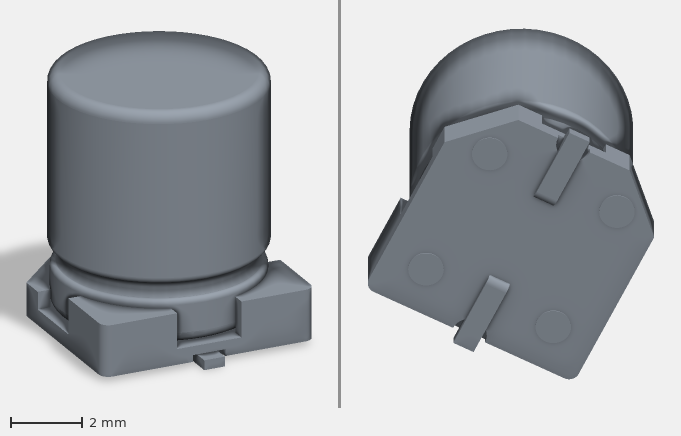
import cadquery as cq
import math

base_side = 6.6
base_bottom = 0.155
floor_top = 0.63
low_corner_top = 1.17
high_corner_top = 1.725
corner_chamfer = 1.55
corner_round = 0.3
notch_width = 2.0

total_height = 7.7
can_radius = 6.3 / 2
flange_radius = 6.15 / 2
neck_radius = 5.605 / 2
top_round = 0.32
bottom_round = 0.33
neck_bottom = 2.16
neck_top = 2.29
groove_round = 0.2
rim_round = 0.16

terminal_span = 7.3
terminal_width = 0.64
terminal_thickness = 0.3
terminal_inner_end = 1.34
terminal_round = 0.26
recess_width = 1.0
recess_top = 0.36

pad_diameter = 1.0
pad_offset = 2.0
pad_height = 0.03


def block(x_min, x_max, y_min, y_max, z_min, z_max):
    size = (x_max - x_min, y_max - y_min, z_max - z_min)
    return cq.Workplane("XY").box(*size, centered=False).translate((x_min, y_min, z_min))


def make_base():
    half = base_side / 2
    half_notch = notch_width / 2

    base = block(-half, half, -half, half, base_bottom, high_corner_top)
    base = base.edges("|Z and <X").chamfer(corner_chamfer)
    base = base.edges("|Z and >X").fillet(corner_round)

    base = base.cut(block(-half, -half_notch, -half, half, low_corner_top, high_corner_top))

    base = base.cut(block(-half_notch, half_notch, -half, half, floor_top, high_corner_top))
    base = base.cut(block(-half, half, -half_notch, half_notch, floor_top, high_corner_top))

    seat_depth = high_corner_top - floor_top
    seat = cq.Workplane("XY").workplane(offset=floor_top).circle(flange_radius).extrude(seat_depth)
    base = base.cut(seat)

    for side in (-1, 1):
        recess = (
            cq.Workplane("XY", origin=(side * half, 0, base_bottom))
            .circle(recess_width / 2)
            .extrude(recess_top - base_bottom)
        )
        base = base.cut(recess)
    return base


def make_can():
    from_corner = 1 - math.sqrt(0.5)

    groove_depth = can_radius - neck_radius
    lip_angle = math.acos(1 - groove_depth / (2 * groove_round))
    lip_rise = groove_round * math.sin(lip_angle)
    lip_mid_in = groove_round * (1 - math.cos(lip_angle / 2))
    lip_mid_up = groove_round * math.sin(lip_angle / 2)
    lip_top = neck_top + 2 * lip_rise

    rim_radius = flange_radius - rim_round
    groove_centre_radius = neck_radius + groove_round
    rim_drop = math.sqrt(groove_round**2 - (groove_centre_radius - rim_radius) ** 2)
    rim_top = neck_bottom - rim_drop
    half_angle = math.asin(rim_drop / groove_round) / 2

    profile = (
        cq.Workplane("XZ")
        .moveTo(0, floor_top)
        .lineTo(flange_radius - bottom_round, floor_top)
        .threePointArc(
            (flange_radius - bottom_round * from_corner, floor_top + bottom_round * from_corner),
            (flange_radius, floor_top + bottom_round),
        )
        .lineTo(flange_radius, rim_top - rim_round)
        .threePointArc(
            (flange_radius - rim_round * from_corner, rim_top - rim_round * from_corner),
            (rim_radius, rim_top),
        )
        .threePointArc(
            (
                groove_centre_radius - groove_round * math.cos(half_angle),
                neck_bottom - groove_round * math.sin(half_angle),
            ),
            (neck_radius, neck_bottom),
        )
        .lineTo(neck_radius, neck_top)
        .threePointArc(
            (neck_radius + lip_mid_in, neck_top + lip_mid_up),
            (neck_radius + groove_depth / 2, neck_top + lip_rise),
        )
        .threePointArc(
            (can_radius - lip_mid_in, lip_top - lip_mid_up),
            (can_radius, lip_top),
        )
        .lineTo(can_radius, total_height - top_round)
        .threePointArc(
            (can_radius - top_round * from_corner, total_height - top_round * from_corner),
            (can_radius - top_round, total_height),
        )
        .lineTo(0, total_height)
        .close()
    )
    return profile.revolve(360, (0, 0, 0), (0, 1, 0))


def make_terminal(side):
    terminal = block(
        terminal_inner_end, terminal_span / 2,
        -terminal_width / 2, terminal_width / 2,
        0, terminal_thickness,
    )
    terminal = terminal.edges("<X and <Z").fillet(terminal_round)
    return terminal if side > 0 else terminal.mirror("YZ")


def make_pads():
    corners = [(x, y) for x in (-pad_offset, pad_offset) for y in (-pad_offset, pad_offset)]
    return (
        cq.Workplane("XY")
        .workplane(offset=base_bottom - pad_height)
        .pushPoints(corners)
        .circle(pad_diameter / 2)
        .extrude(2 * pad_height)
    )


result = make_base().union(make_can()).union(make_pads())
for side in (-1, 1):
    result = result.union(make_terminal(side))